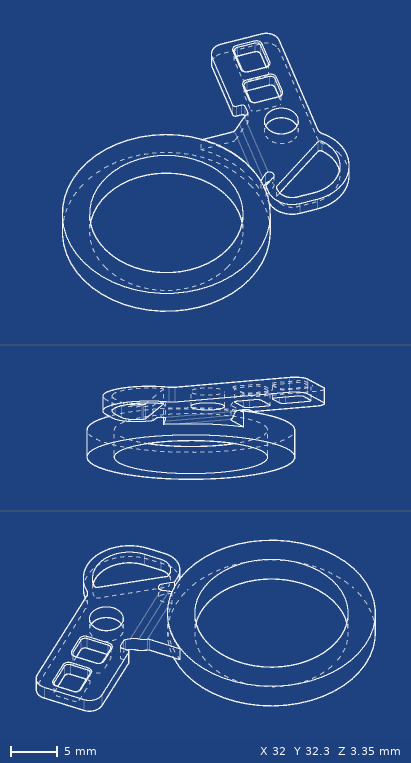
import cadquery as cq
import math

ring_outer_radius = 11.25
ring_bore_radius = 16.6 / 2
ring_height = 3.0

plate_top = 3.35
sheet = 1.65
plate_bottom = plate_top - sheet
plate_left = -20.7
plate_back = 19.2
plate_front = 11.55
plate_corner_radius = 1.5
hole_diameter = 3.65
hole_center = (-8.3, 15.85)

window_back = 17.1
window_sizes = [(-18.02, 3.62, 2.98), (-13.33, 3.05, 3.5)]
window_corner_radius = 0.5
window_chamfer = 0.15
rim_land = 0.0003

loop_center = (-1.6, 16.08)
loop_radius = 5.0
loop_wall = 1.0
loop_toe_radius = 2.72
loop_right = loop_center[0] + loop_radius
loop_toe = (loop_right - loop_toe_radius, 14.1)
loop_front = loop_toe[1] - loop_toe_radius
loop_root_fillet = 0.8
opening_fillet = 0.32

slant_angle = 53.5
slant_slope = math.tan(math.radians(slant_angle))
opening_edge_point = (-3.88, 18.15)

slot_width = 1.0
slot_end = (-1.4, 12.2)
slot_length = 9.7

bend_back = 12.23
bend_front = 10.7
step_drop = 0.5
underside_shift = 0.2
tab_left = -8.9
tab_corner_y = 10.6
tab_right = -0.65
tab_corner_radius = 0.32
tab_back = 12.45
tab_root_left_y = 6.47
tab_root_right_y = 9.7

notch_left = -11.8
notch_back = 12.78
notch_fillet = 0.32


def slant_x(point, y):
    """X at height y on the slanted line through a point."""
    return point[0] + (point[1] - y) / slant_slope


def arc_point(center, radius, angle):
    """Point on a circle at an angle in degrees."""
    turn = math.radians(angle)
    return (center[0] + radius * math.cos(turn), center[1] + radius * math.sin(turn))


def vertical_edges_at(body, x, y):
    """Vertical edges of a body that stand at the given plan position."""
    reach = 0.015
    box = cq.selectors.BoxSelector((x - reach, y - reach, 0), (x + reach, y + reach, plate_top))
    return body.edges("|Z").edges(box)


def make_plate():
    tab_corner = (tab_left, tab_corner_y)
    root_y = plate_back - loop_center[1]
    root_x = loop_center[0] - math.sqrt(loop_radius**2 - root_y**2)
    notch_right = slant_x(tab_corner, notch_back)
    plate = (
        cq.Workplane("XY", origin=(0, 0, plate_bottom))
        .moveTo(plate_left, plate_back)
        .lineTo(root_x, plate_back)
        .threePointArc(arc_point(loop_center, loop_radius, 60), (loop_right, loop_center[1]))
        .lineTo(loop_right, loop_toe[1])
        .threePointArc(arc_point(loop_toe, loop_toe_radius, -45), (loop_toe[0], loop_front))
        .lineTo(tab_right, loop_front)
        .lineTo(slot_end[0], bend_back)
        .lineTo(slant_x(tab_corner, bend_back), bend_back)
        .lineTo(notch_right, notch_back)
        .lineTo(notch_left, notch_back)
        .lineTo(notch_left, plate_front)
        .lineTo(plate_left, plate_front)
        .close()
        .extrude(sheet)
    )
    rounded_corners = [
        (plate_left, plate_back, plate_corner_radius),
        (plate_left, plate_front, plate_corner_radius),
        (root_x, plate_back, loop_root_fillet),
        (notch_left, notch_back, notch_fillet),
        (notch_left, plate_front, notch_fillet),
        (notch_right, notch_back, notch_fillet),
    ]
    for x, y, radius in rounded_corners:
        plate = vertical_edges_at(plate, x, y).fillet(radius)
    hole = cq.Workplane("XY").center(*hole_center).circle(hole_diameter / 2).extrude(plate_top)
    return plate.cut(hole)


def make_window(center_x, width, depth):
    """Rounded window cutter with a chamfered rim at the plate's top face."""
    center_y = window_back - depth / 2
    opening = (
        cq.Workplane("XY")
        .center(center_x, center_y)
        .rect(width, depth)
        .extrude(plate_top)
        .edges("|Z")
        .fillet(window_corner_radius)
    )
    rim = (
        cq.Workplane("XY", origin=(center_x, center_y, plate_top - window_chamfer))
        .rect(width + 2 * window_chamfer, depth + 2 * window_chamfer)
        .extrude(window_chamfer)
        .edges("|Z")
        .fillet(window_corner_radius + window_chamfer)
        .faces("<Z")
        .chamfer(window_chamfer - rim_land)
    )
    return opening.union(rim)


def make_loop_opening():
    inner_radius = loop_radius - loop_wall
    toe_radius = loop_toe_radius - loop_wall
    inner_right = loop_right - loop_wall
    inner_front = loop_toe[1] - toe_radius
    inner_back = loop_center[1] + inner_radius
    rounded = (
        cq.Workplane("XY")
        .moveTo(loop_center[0] - inner_radius, loop_center[1])
        .threePointArc((loop_center[0], inner_back), (inner_right, loop_center[1]))
        .lineTo(inner_right, loop_toe[1])
        .threePointArc(arc_point(loop_toe, toe_radius, -45), (loop_toe[0], inner_front))
        .lineTo(loop_center[0] - inner_radius, inner_front)
        .close()
        .extrude(plate_top)
    )
    behind_edge = (
        cq.Workplane("XY")
        .polyline([
            (slant_x(opening_edge_point, loop_front), loop_front),
            (loop_right, loop_front),
            (loop_right, inner_back),
            (slant_x(opening_edge_point, inner_back), inner_back),
        ])
        .close()
        .extrude(plate_top)
    )
    opening = rounded.intersect(behind_edge)
    ends = opening.faces(cq.selectors.DirectionMinMaxSelector(
        cq.Vector(-slant_slope, -1, 0), True)).edges("|Z")
    return ends.fillet(opening_fillet)


def make_slot():
    """Round-ended slot running from its rear end down the slant."""
    slot = (
        cq.Workplane("XY")
        .circle(slot_width / 2)
        .extrude(plate_top)
        .union(
            cq.Workplane("XY")
            .rect(slot_length, slot_width)
            .extrude(plate_top)
            .translate((slot_length / 2, 0, 0))
        )
    )
    return slot.rotate((0, 0, 0), (0, 0, 1), -slant_angle).translate((*slot_end, 0))


def make_tab():
    """Tab outline in plan, given the side profile of an S-shaped step."""
    tab_corner = (tab_left, tab_corner_y)
    plan = (
        cq.Workplane("XY")
        .polyline([
            (slant_x(tab_corner, tab_back), tab_back),
            tab_corner,
            (tab_left, tab_root_left_y),
            (tab_right, tab_root_right_y),
            (tab_right, loop_front),
            (slot_end[0], tab_back),
        ])
        .close()
        .extrude(plate_top)
    )
    plan = vertical_edges_at(plan, *tab_corner).fillet(tab_corner_radius)

    low_top = plate_top - step_drop
    low_bottom = low_top - sheet
    middle = (bend_back + bend_front) / 2
    flat_front = 0.0
    profile = (
        cq.Workplane("YZ", origin=(plate_left, 0, 0))
        .moveTo(tab_back, plate_top)
        .lineTo(bend_back, plate_top)
        .tangentArcPoint((middle, plate_top - step_drop / 2), relative=False)
        .tangentArcPoint((bend_front, low_top), relative=False)
        .lineTo(flat_front, low_top)
        .lineTo(flat_front, low_bottom)
        .lineTo(bend_front + underside_shift, low_bottom)
        .tangentArcPoint((middle + underside_shift, low_bottom + step_drop / 2), relative=False)
        .tangentArcPoint((bend_back + underside_shift, plate_bottom), relative=False)
        .lineTo(tab_back, plate_bottom)
        .close()
        .extrude(-plate_left)
    )
    return plan.intersect(profile)


ring = cq.Workplane("XY").circle(ring_outer_radius).circle(ring_bore_radius).extrude(ring_height)
sheet_part = make_plate().union(make_tab()).cut(make_loop_opening()).cut(make_slot())
for center_x, width, depth in window_sizes:
    sheet_part = sheet_part.cut(make_window(center_x, width, depth))
result = sheet_part.union(ring)